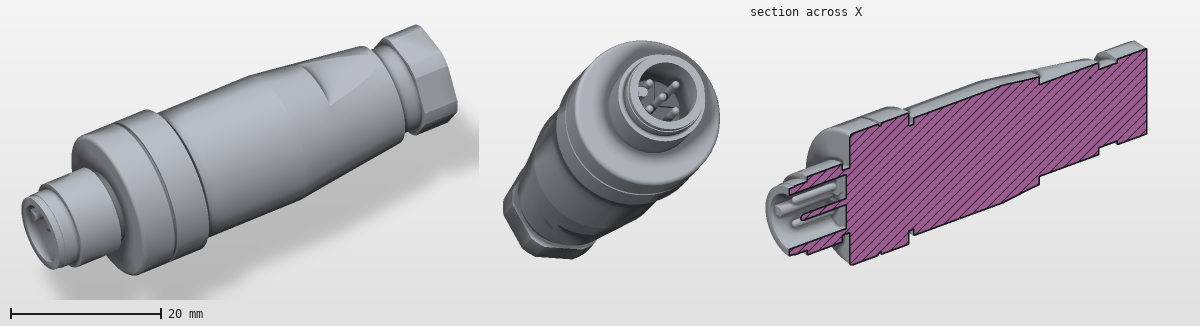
import cadquery as cq
import math


tip_end = 0.95
collar_start = 3.0
collar_end = 9.0
nut_start = 10.2
nut_rear_bevel = 14.85
nut_end = 15.2
ring_start = 15.4
ring_end = 20.1
body_start = 20.85
taper_start = 35.8
taper_end = 51.9
hex_start = 54.9
overall_length = 59.9

tip_radius = 5.15
sleeve_radius = 5.3
collar_radius = 6.0
neck_radius = 5.0
nut_diameter = 20.05
nut_radius = nut_diameter / 2
nut_groove_radius = 9.65
body_groove_radius = 8.0
body_radius = 9.0
taper_end_radius = 7.0
gland_neck_radius = 6.0
nut_front_rounding = 0.55

hex_across_flats = 13.05
hex_corner_radius = 7.0

grip_flat_height = 7.0
grip_flat_start = 41.95

socket_radius = 4.1
socket_depth = 9.0
cross_slot_width = 1.25
cross_slot_depth = 0.6
cross_corner_radius = 0.7
pin_radius = 0.51
pin_offset = 1.8
pin_tip = 2.0
key_start = 0.7
key_side_reach = 2.9
key_nose_reach = 2.5


def cylinder_y(radius, start, end, x=0.0, z=0.0):
    """Cylinder along Y from start to end, centred at (x, z)."""
    plane = cq.Plane(origin=(x, start, z), xDir=(1, 0, 0), normal=(0, 1, 0))
    return cq.Workplane(plane).circle(radius).extrude(end - start)


def make_round_body():
    """Stepped body turned about the Y axis."""
    rounding_middle = nut_front_rounding * (1 - math.sqrt(0.5))
    return (
        cq.Workplane("XY")
        .moveTo(0, 0)
        .lineTo(tip_radius, 0)
        .lineTo(tip_radius, tip_end)
        .lineTo(sleeve_radius, tip_end)
        .lineTo(sleeve_radius, collar_start)
        .lineTo(collar_radius, collar_start)
        .lineTo(collar_radius, collar_end)
        .lineTo(neck_radius, collar_end)
        .lineTo(neck_radius, nut_start)
        .lineTo(nut_radius - nut_front_rounding, nut_start)
        .threePointArc(
            (nut_radius - rounding_middle, nut_start + rounding_middle),
            (nut_radius, nut_start + nut_front_rounding),
        )
        .lineTo(nut_radius, nut_rear_bevel)
        .lineTo(nut_groove_radius, nut_end)
        .lineTo(nut_groove_radius, ring_start)
        .lineTo(nut_radius, ring_start)
        .lineTo(nut_radius, ring_end)
        .lineTo(body_groove_radius, ring_end)
        .lineTo(body_groove_radius, body_start)
        .lineTo(body_radius, body_start)
        .lineTo(body_radius, taper_start)
        .lineTo(taper_end_radius, taper_end)
        .lineTo(gland_neck_radius, taper_end)
        .lineTo(gland_neck_radius, hex_start)
        .lineTo(0, hex_start)
        .close()
        .revolve(360, (0, 0, 0), (0, 1, 0))
    )


def make_gland_nut():
    """Hexagon with flats facing up and down, corners rounded by a cylinder."""
    length = overall_length - hex_start
    corner_diameter = hex_across_flats / math.cos(math.radians(30))
    plane = cq.Plane(origin=(0, hex_start, 0), xDir=(1, 0, 0), normal=(0, 1, 0))
    hexagon = cq.Workplane(plane).polygon(6, corner_diameter).extrude(length)
    return hexagon.intersect(cylinder_y(hex_corner_radius, hex_start, overall_length))


def cut_grip_flats(part):
    """Cut a flat across the top and the bottom of the taper."""
    length = taper_end - grip_flat_start
    depth = body_radius - grip_flat_height
    middle_y = grip_flat_start + length / 2
    middle_z = grip_flat_height + depth / 2
    for side in (-1, 1):
        block = cq.Workplane("XY").box(2 * body_radius, length, depth)
        part = part.cut(block.translate((0, middle_y, side * middle_z)))
    return part


def make_cross_slot():
    """Cross-shaped slot in the socket floor with rounded inner corners."""
    end = socket_depth + cross_slot_depth
    plane = cq.Plane(origin=(0, socket_depth, 0), xDir=(1, 0, 0), normal=(0, 1, 0))
    length = 4 * socket_radius
    across = cq.Workplane(plane).rect(length, cross_slot_width).extrude(cross_slot_depth)
    upright = cq.Workplane(plane).rect(cross_slot_width, length).extrude(cross_slot_depth)
    inner_corners = cq.selectors.BoxSelector(
        (-cross_slot_width, 0, -cross_slot_width),
        (cross_slot_width, overall_length, cross_slot_width),
    )
    cross = across.union(upright).edges("|Y").edges(inner_corners).fillet(cross_corner_radius)
    return cross.intersect(cylinder_y(socket_radius, socket_depth, end))


def make_pin(x, z):
    """Contact pin with a domed tip."""
    dome_centre = pin_tip + pin_radius
    shaft = cylinder_y(pin_radius, dome_centre, socket_depth + cross_slot_depth, x, z)
    dome = cq.Workplane("XY").sphere(pin_radius).translate((x, dome_centre, z))
    return shaft.union(dome)


def make_key():
    """Coding key along the -X wall of the socket, with a rounded nose."""
    half_width = cross_slot_width / 2
    root = (socket_radius + tip_radius) / 2
    plane = cq.Plane(origin=(0, key_start, 0), xDir=(1, 0, 0), normal=(0, -1, 0))
    return (
        cq.Workplane(plane)
        .moveTo(-root, -half_width)
        .lineTo(-key_side_reach, -half_width)
        .threePointArc((-key_nose_reach, 0), (-key_side_reach, half_width))
        .lineTo(-root, half_width)
        .close()
        .extrude(key_start - socket_depth - cross_slot_depth)
    )


result = cut_grip_flats(make_round_body())
result = result.union(make_gland_nut())

result = result.cut(cylinder_y(socket_radius, 0, socket_depth))
result = result.cut(make_cross_slot())
result = result.union(make_key())
pin_places = [(0, 0)]
for pin_x in (-pin_offset, pin_offset):
    for pin_z in (-pin_offset, pin_offset):
        pin_places.append((pin_x, pin_z))
for pin_x, pin_z in pin_places:
    result = result.union(make_pin(pin_x, pin_z))